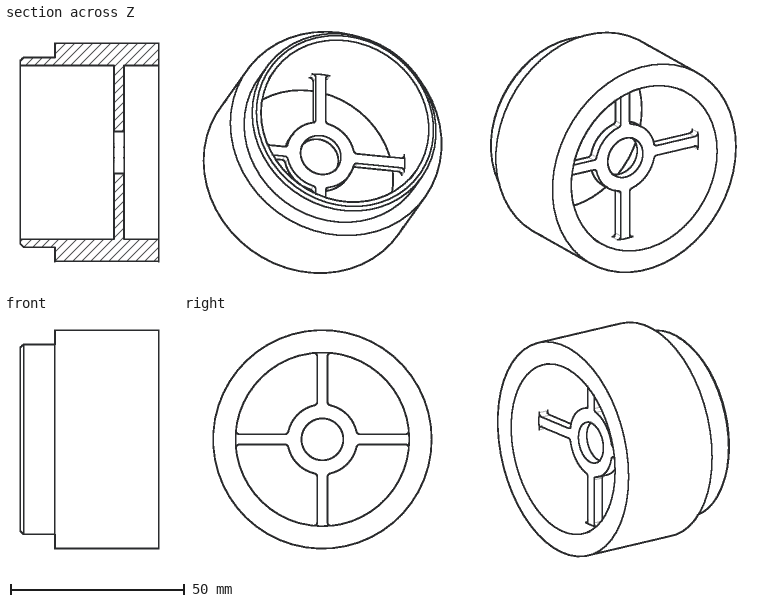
import cadquery as cq

TOTAL_LENGTH = 40.0
BODY_DIAMETER = 63.0
SPIGOT_DIAMETER = 54.8
SPIGOT_LENGTH = 10.0
SPIGOT_CHAMFER = 1.0
BORE_DIAMETER = 50.0

SPIDER_DEPTH = 27.0
SPIDER_THICKNESS = 3.0
HUB_DIAMETER = 20.2
HUB_HOLE_DIAMETER = 12.0
SPOKE_WIDTH = 3.0
WINDOW_FILLET = 1.0

SPIGOT_END_X = -TOTAL_LENGTH / 2
SHOULDER_X = SPIGOT_END_X + SPIGOT_LENGTH
SPIDER_X = SPIGOT_END_X + SPIDER_DEPTH


def cylinder(diameter, start_x, length):
    """Solid cylinder on the X axis, growing toward +X from start_x."""
    return cq.Workplane("YZ", origin=(start_x, 0, 0)).circle(diameter / 2).extrude(length)


def spider_layer(diameter):
    """Solid disc at the position and thickness of the spider."""
    return cylinder(diameter, SPIDER_X, SPIDER_THICKNESS)


def stepped_sleeve():
    """Round body with a narrower, chamfered spigot at -X, bored right through."""
    spigot = cylinder(SPIGOT_DIAMETER, SPIGOT_END_X, SPIGOT_LENGTH)
    spigot = spigot.faces("<X").chamfer(SPIGOT_CHAMFER)
    body = cylinder(BODY_DIAMETER, SHOULDER_X, TOTAL_LENGTH - SPIGOT_LENGTH)
    bore = cylinder(BORE_DIAMETER, SPIGOT_END_X, TOTAL_LENGTH)
    return body.union(spigot).cut(bore)


def spokes():
    """Cross of two bars along Y and Z, each spanning the bore."""
    cross = cq.Workplane("YZ", origin=(SPIDER_X, 0, 0)).rect(BORE_DIAMETER, SPOKE_WIDTH)
    cross = cross.extrude(SPIDER_THICKNESS)
    return cross.union(cross.rotate((0, 0, 0), (1, 0, 0), 90))


def spider_windows():
    """Four openings between the hub, the spokes and the bore wall, with rounded corners."""
    ring = spider_layer(BORE_DIAMETER).cut(spider_layer(HUB_DIAMETER))
    return ring.cut(spokes()).edges("|X").fillet(WINDOW_FILLET)


def spider():
    """Hub with a through hole, carried on four spokes that fillet into the bore wall."""
    disc = spider_layer(BORE_DIAMETER)
    return disc.cut(spider_windows()).cut(spider_layer(HUB_HOLE_DIAMETER))


result = stepped_sleeve().union(spider())